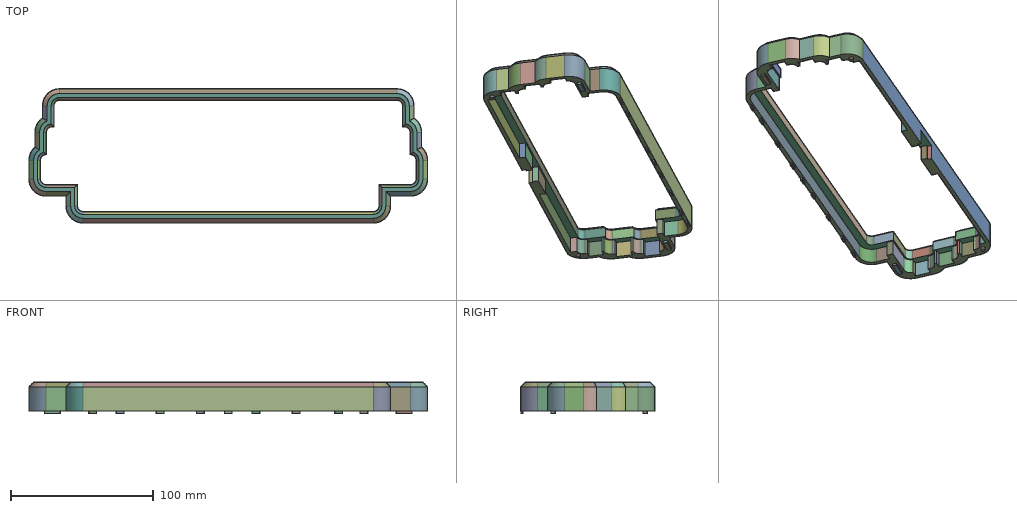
import cadquery as cq
import math

LENGTH = 280.0
WIDTH = 94.3
HALF_LENGTH = LENGTH / 2
HALF_WIDTH = WIDTH / 2
TAB_HEIGHT = 1.7
BODY_HEIGHT = 20.5
TOP_Z = TAB_HEIGHT + BODY_HEIGHT
CORNER_RADIUS = 12.0

BACK_SIDE_X = 130.5
MIDDLE_SIDE_X = 135.8
FRONT_SIDE_X = 114.0

BACK_ARC_Y = HALF_WIDTH - CORNER_RADIUS
MIDDLE_ARC_Y = 16.5
LOBE_ARC_Y = -3.0
SHOULDER_ARC_Y = -16.2
FRONT_ARC_Y = -BACK_ARC_Y
SHOULDER_Y = SHOULDER_ARC_Y - CORNER_RADIUS

LIP_INSET = 8.0
BLOCK_INSET = 7.3
WALL_THICKNESS = 2.8
LIP_HEIGHT = 9.2
LIP_BOTTOM_Z = TOP_Z - LIP_HEIGHT
OUTER_CHAMFER = 3.4
INNER_CHAMFER = 2.0

CORNER_BLOCK_OVERRUN = 1.7
BACK_BLOCK_START_X = 8.5
BACK_BLOCK_LENGTH = 20.2
NOTCH_HALF_LENGTH = 9.8

FRONT_TAB_CENTRES = [-95.2, -76.0, -48.0, -19.5, 0.0, 19.3, 47.5, 77.5, 95.2]
FRONT_TAB_LENGTH = 5.5
FRONT_TAB_DEPTH = 1.5
FRONT_TAB_SETBACK = 0.3
SHOULDER_TAB_LENGTH = 11.2
SHOULDER_TAB_DEPTH = 3.0
SHOULDER_TAB_X = 123.5
SHOULDER_TAB_Y = -24.4
PIN_DIAMETER = 3.0
PIN_X = 123.7
PIN_Y = 40.3


def right_half_path(inset):
    """Segments of the right half outline, back to front, moved inwards by inset.

    Each segment is ("line", end) or ("arc", middle, end).
    """
    radius = CORNER_RADIUS - inset

    def rounded_corner(centre, start_angle, end_angle):
        def on_arc(angle):
            return (centre[0] + radius * math.cos(angle), centre[1] + radius * math.sin(angle))
        return [
            ("line", on_arc(start_angle)),
            ("arc", on_arc((start_angle + end_angle) / 2), on_arc(end_angle)),
        ]

    def step_corner(side_x, next_side_x, arc_y):
        centre_x = next_side_x - CORNER_RADIUS
        start_angle = math.acos((side_x - inset - centre_x) / radius)
        return rounded_corner((centre_x, arc_y), start_angle, 0)

    quarter = math.pi / 2
    return (
        rounded_corner((BACK_SIDE_X - CORNER_RADIUS, BACK_ARC_Y), quarter, 0)
        + step_corner(BACK_SIDE_X, MIDDLE_SIDE_X, MIDDLE_ARC_Y)
        + step_corner(MIDDLE_SIDE_X, HALF_LENGTH, LOBE_ARC_Y)
        + rounded_corner((HALF_LENGTH - CORNER_RADIUS, SHOULDER_ARC_Y), 0, -quarter)
        + [("line", (FRONT_SIDE_X - inset, SHOULDER_Y + inset))]
        + rounded_corner((FRONT_SIDE_X - CORNER_RADIUS, FRONT_ARC_Y), 0, -quarter)
    )


def outline_prism(inset, bottom_z, top_z):
    """Solid prism filling the whole outline moved inwards by inset."""
    start = (0, HALF_WIDTH - inset)
    front_middle = (0, -HALF_WIDTH + inset)
    half = cq.Workplane("XY", origin=(0, 0, bottom_z)).moveTo(*start)
    for kind, *points in right_half_path(inset):
        half = half.lineTo(*points[0]) if kind == "line" else half.threePointArc(*points)
    half = half.lineTo(*front_middle)
    return half.mirrorY().extrude(top_z - bottom_z)


def box_between(x_range, y_range, bottom_z, top_z):
    """Upright box given by its X and Y limits."""
    size_x = x_range[1] - x_range[0]
    size_y = y_range[1] - y_range[0]
    return cq.Workplane("XY").box(size_x, size_y, top_z - bottom_z, centered=False).translate(
        (x_range[0], y_range[0], bottom_z)
    )


def both_sides(solid):
    """The solid together with its mirror image across the YZ plane."""
    return solid.union(solid.mirror("YZ"))


def make_shell():
    """Chamfered frame with an inner lip above a thin wall."""
    body = outline_prism(0, TAB_HEIGHT, TOP_Z).faces(">Z").chamfer(OUTER_CHAMFER)
    opening = outline_prism(LIP_INSET, TAB_HEIGHT, TOP_Z)
    flare = outline_prism(LIP_INSET - INNER_CHAMFER, TOP_Z - INNER_CHAMFER, TOP_Z + INNER_CHAMFER)
    flare = flare.faces("<Z").chamfer(INNER_CHAMFER)
    recess = outline_prism(WALL_THICKNESS, TAB_HEIGHT, LIP_BOTTOM_Z)
    return body.cut(opening).cut(flare).cut(recess)


def make_blocks():
    """Thick stretches of the lower wall: in the side corners and twice along the back."""
    thick_wall = outline_prism(0, TAB_HEIGHT, LIP_BOTTOM_Z).cut(
        outline_prism(BLOCK_INSET, TAB_HEIGHT, LIP_BOTTOM_Z)
    )
    back_arc_x = BACK_SIDE_X - CORNER_RADIUS
    block_radius = CORNER_RADIUS - BLOCK_INSET
    zones = [
        ((BACK_BLOCK_START_X, BACK_BLOCK_START_X + BACK_BLOCK_LENGTH), (BACK_ARC_Y, HALF_WIDTH)),
        ((back_arc_x, BACK_SIDE_X), (BACK_ARC_Y - CORNER_BLOCK_OVERRUN, HALF_WIDTH)),
        ((FRONT_SIDE_X - BLOCK_INSET, HALF_LENGTH), (SHOULDER_Y + WALL_THICKNESS, SHOULDER_ARC_Y)),
    ]
    for side_x, arc_y in ((BACK_SIDE_X, MIDDLE_ARC_Y), (MIDDLE_SIDE_X, LOBE_ARC_Y)):
        block_front_y = arc_y - CORNER_BLOCK_OVERRUN
        block_back_y = arc_y + block_radius + CORNER_BLOCK_OVERRUN
        zones.append(((side_x - BLOCK_INSET, HALF_LENGTH), (block_front_y, block_back_y)))
        zones.append(((side_x - WALL_THICKNESS, HALF_LENGTH), (arc_y, arc_y + CORNER_RADIUS)))
    blocks = cq.Workplane("XY")
    for x_range, y_range in zones:
        zone = box_between(x_range, y_range, TAB_HEIGHT, LIP_BOTTOM_Z)
        blocks = blocks.add(thick_wall.intersect(zone))
    return both_sides(blocks.combine())


def make_tabs():
    """Short tabs and pins that reach below the bottom edge of the frame."""
    shoulder_tab = cq.Workplane("XY", origin=(SHOULDER_TAB_X, SHOULDER_TAB_Y)).rect(
        SHOULDER_TAB_LENGTH, SHOULDER_TAB_DEPTH
    ).extrude(TAB_HEIGHT)
    pin = cq.Workplane("XY", origin=(PIN_X, PIN_Y)).circle(PIN_DIAMETER / 2).extrude(TAB_HEIGHT)
    front_tab_y = -HALF_WIDTH + FRONT_TAB_SETBACK + FRONT_TAB_DEPTH / 2
    front_tabs = (
        cq.Workplane("XY")
        .pushPoints([(x, front_tab_y) for x in FRONT_TAB_CENTRES])
        .rect(FRONT_TAB_LENGTH, FRONT_TAB_DEPTH)
        .extrude(TAB_HEIGHT)
    )
    return both_sides(shoulder_tab.union(pin)).union(front_tabs)


def make_back_notch():
    """Opening through the lower back wall, reaching a little behind the two back blocks."""
    return box_between(
        (-NOTCH_HALF_LENGTH, NOTCH_HALF_LENGTH),
        (HALF_WIDTH - WALL_THICKNESS, HALF_WIDTH),
        TAB_HEIGHT,
        LIP_BOTTOM_Z,
    )


result = make_shell().union(make_blocks()).union(make_tabs()).cut(make_back_notch())